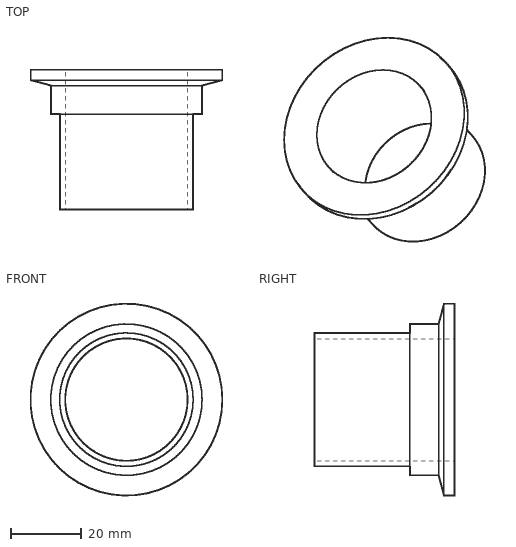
import cadquery as cq
import math

flange_diameter = 54.85
collar_diameter = 43.25
tube_diameter = 38.15
bore_diameter = 34.9

total_length = 40.0
rim_thickness = 3.0
collar_end = 12.75
taper_angle = 15.0

flange_overhang = (flange_diameter - collar_diameter) / 2
taper_length = flange_overhang * math.tan(math.radians(taper_angle))
taper_end = rim_thickness + taper_length

flange_radius = flange_diameter / 2
collar_radius = collar_diameter / 2
tube_radius = tube_diameter / 2
bore_radius = bore_diameter / 2

half_section = (
    cq.Workplane("XY")
    .moveTo(bore_radius, 0)
    .lineTo(flange_radius, 0)
    .lineTo(flange_radius, -rim_thickness)
    .lineTo(collar_radius, -taper_end)
    .lineTo(collar_radius, -collar_end)
    .lineTo(tube_radius, -collar_end)
    .lineTo(tube_radius, -total_length)
    .lineTo(bore_radius, -total_length)
    .close()
)
result = half_section.revolve(360, (0, 0, 0), (0, 1, 0))